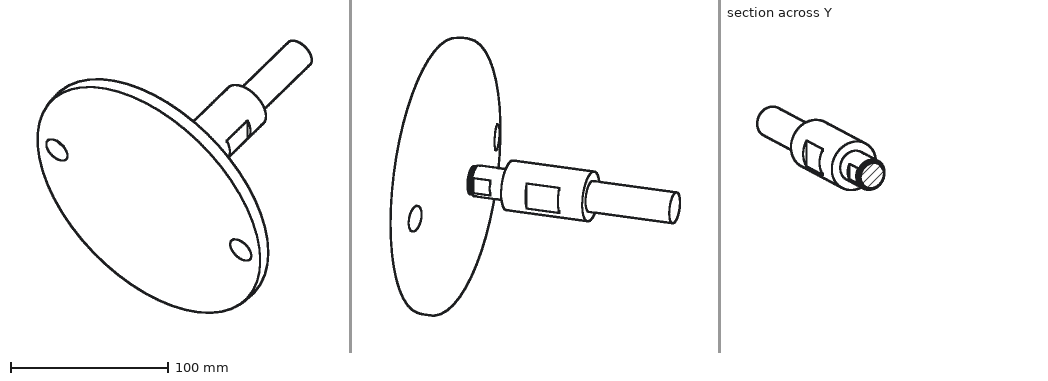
import cadquery as cq
import math


plate_diameter = 178.0
plate_radius = plate_diameter / 2
rim_inset = 0.5
rim_curve_top = 4.1
cone_edge_y = 9.5
cone_top_y = 22.8
cone_top_radius = 9.0
shoulder_fillet = 2.8
collar_radius = 8.5
collar_base_y = 23.3
collar_shoulder_y = 23.9
waist_y = 24.5
waist_radius = 7.8
cone_angle = math.degrees(math.atan2(cone_top_y - cone_edge_y, plate_radius - cone_top_radius))

fixing_hole_diameter = 16.5
fixing_hole_offset = 73.0
hole_cutter_length = 71.2

spindle_diameter = 20.0
spindle_radius = spindle_diameter / 2
spindle_shoulder_y = 25.6
spindle_top_y = 160.0
spindle_tip_radius = 8.7
spindle_flat_width = 17.0
spindle_flat_bottom = 26.7
spindle_flat_top = 38.3

sleeve_diameter = 32.0
sleeve_bottom_y = 48.2
sleeve_length = 55.0
sleeve_flat_width = 27.0
sleeve_flat_length = 22.0
sleeve_flat_bottom = sleeve_bottom_y + (sleeve_length - sleeve_flat_length) / 2


def cylinder_along_y(diameter, bottom, length):
    """Solid cylinder on the Y axis, rising from Y = bottom."""
    return cq.Workplane("XZ", origin=(0, bottom, 0)).circle(diameter / 2).extrude(-length)


def revolve_about_y(profile):
    return profile.close().revolve(360, (0, 0, 0), (0, 1, 0))


def cut_wrench_flats(body, diameter, across_flats, bottom, top):
    """Mill two opposite flats, facing -X and +X, between two levels."""
    depth = (diameter - across_flats) / 2
    for side in (-1, 1):
        cutter = cq.Workplane("XY").box(2 * depth, top - bottom, diameter)
        flat_center = side * (across_flats / 2 + depth)
        body = body.cut(cutter.translate((flat_center, (bottom + top) / 2, 0)))
    return body


def make_plate():
    slope = math.radians(cone_angle)
    turn = math.pi / 2 - slope
    tangent_length = shoulder_fillet * math.tan(turn / 2)
    fillet_bottom = cone_edge_y - tangent_length
    fillet_end = (
        plate_radius - tangent_length * math.cos(slope),
        cone_edge_y + tangent_length * math.sin(slope),
    )
    fillet_middle = (
        plate_radius - shoulder_fillet * (1 - math.cos(turn / 2)),
        fillet_bottom + shoulder_fillet * math.sin(turn / 2),
    )

    rim_middle = (plate_radius - rim_inset / 4, rim_curve_top / 2)

    profile = (
        cq.Workplane("XY")
        .lineTo(plate_radius - rim_inset, 0)
        .threePointArc(rim_middle, (plate_radius, rim_curve_top))
        .lineTo(plate_radius, fillet_bottom)
        .threePointArc(fillet_middle, fillet_end)
        .lineTo(cone_top_radius, cone_top_y)
        .lineTo(collar_radius, collar_base_y)
        .lineTo(collar_radius, collar_shoulder_y)
        .lineTo(waist_radius, waist_y)
        .lineTo(0, waist_y)
    )
    plate = revolve_about_y(profile)

    for side in (-1, 1):
        cutter = cylinder_along_y(fixing_hole_diameter, -hole_cutter_length / 2, hole_cutter_length)
        cutter = cutter.rotate((0, 0, 0), (0, 0, 1), -side * cone_angle)
        plate = plate.cut(cutter.translate((side * fixing_hole_offset, 0, 0)))
    return plate


def make_spindle():
    profile = (
        cq.Workplane("XY")
        .moveTo(0, waist_y)
        .lineTo(waist_radius, waist_y)
        .lineTo(spindle_tip_radius, spindle_shoulder_y)
        .lineTo(spindle_radius, spindle_shoulder_y)
        .lineTo(spindle_radius, spindle_top_y)
        .lineTo(0, spindle_top_y)
    )
    spindle = revolve_about_y(profile)
    return cut_wrench_flats(
        spindle, spindle_diameter, spindle_flat_width, spindle_flat_bottom, spindle_flat_top
    )


def make_sleeve():
    sleeve = cylinder_along_y(sleeve_diameter, sleeve_bottom_y, sleeve_length)
    sleeve = sleeve.cut(cylinder_along_y(spindle_diameter, sleeve_bottom_y, sleeve_length))
    return cut_wrench_flats(
        sleeve,
        sleeve_diameter,
        sleeve_flat_width,
        sleeve_flat_bottom,
        sleeve_flat_bottom + sleeve_flat_length,
    )


plate = make_plate()
spindle = make_spindle()
sleeve = make_sleeve()

result = cq.Compound.makeCompound([plate.val(), spindle.val(), sleeve.val()])